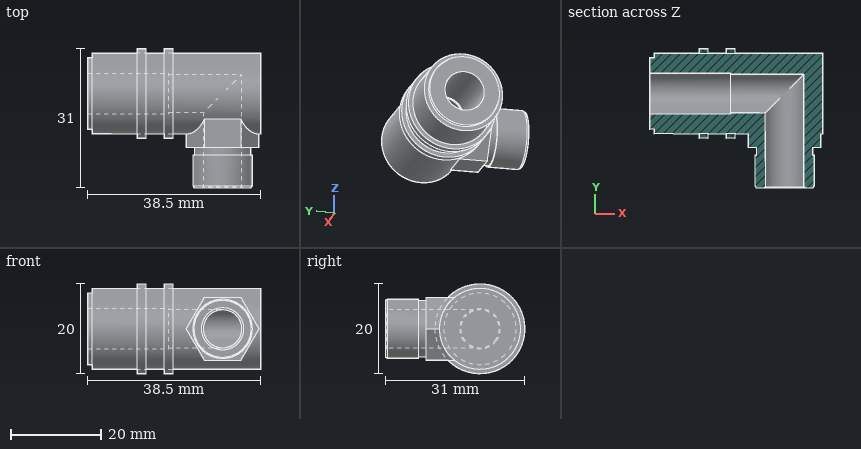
import cadquery as cq
import math

total_length = 38.5
barrel_diameter = 18.0
spigot_diameter = 16.0
spigot_length = 1.0

ring_diameter = 20.0
ring_width = 2.0
ring_starts = (11.0, 17.0)

port_x = 30.0
hex_across_flats = 14.0
hex_face_distance = 12.0
neck_diameter = 12.6
neck_length = 1.7
thread_diameter = 13.2
port_end_distance = 21.0
thread_end_chamfer = 0.5
thread_end_chamfer_radial = 0.25

bore_diameter = 8.5
port_mouth_chamfer_radial = 0.45
port_mouth_chamfer_depth = 0.25
socket_diameter = 9.0
socket_depth = 18.0


def rod_x(diameter, start, length):
    """Cylinder on the barrel axis."""
    return cq.Workplane("YZ").workplane(offset=start).circle(diameter / 2).extrude(length)


def rod_port(diameter, start, length):
    """Cylinder on the port axis, start measured from the barrel axis toward -Y."""
    return (
        cq.Workplane("XZ")
        .workplane(offset=start)
        .center(port_x, 0)
        .circle(diameter / 2)
        .extrude(length)
    )


def make_barrel():
    """Plain cylinder with a short, narrower spigot at its left end."""
    spigot = rod_x(spigot_diameter, 0, spigot_length)
    barrel = rod_x(barrel_diameter, spigot_length, total_length - spigot_length)
    return spigot.union(barrel)


def make_port():
    """Hexagon, relieved neck and thread blank on the port axis."""
    hex_across_corners = hex_across_flats / math.cos(math.pi / 6)
    hexagon = (
        cq.Workplane("XZ")
        .center(port_x, 0)
        .polygon(6, hex_across_corners)
        .extrude(hex_face_distance)
    )
    neck = rod_port(neck_diameter, hex_face_distance, neck_length)
    thread_start = hex_face_distance + neck_length
    thread = rod_port(thread_diameter, thread_start, port_end_distance - thread_start)
    thread = thread.faces("<Y").chamfer(thread_end_chamfer, thread_end_chamfer_radial)
    return hexagon.union(neck).union(thread)


def make_elbow_bore():
    """Two equal bores mitred where their axes cross, so neither leaves a flat end."""
    path = cq.Workplane("XY").polyline([(0, 0), (port_x, 0), (port_x, -port_end_distance)])
    return cq.Workplane("YZ").circle(bore_diameter / 2).sweep(path, transition="right")


def make_port_mouth():
    """Conical chamfer at the open end of the port bore."""
    mouth = cq.Solid.makeCone(
        bore_diameter / 2 + port_mouth_chamfer_radial,
        bore_diameter / 2,
        port_mouth_chamfer_depth,
        pnt=cq.Vector(port_x, -port_end_distance, 0),
        dir=cq.Vector(0, 1, 0),
    )
    return cq.Workplane(mouth)


def make_housing():
    """Barrel and port in one piece, bored through, with a wider socket in the barrel."""
    housing = make_barrel().union(make_port())
    housing = housing.cut(make_elbow_bore())
    housing = housing.cut(rod_x(socket_diameter, 0, socket_depth))
    return housing.cut(make_port_mouth())


def make_ring(start):
    """Separate ring fitted around the barrel."""
    ring = rod_x(ring_diameter, start, ring_width)
    return ring.cut(rod_x(barrel_diameter, start, ring_width))


housing = make_housing()
rings = [make_ring(start) for start in ring_starts]

result = cq.Compound.makeCompound([housing.val(), *[ring.val() for ring in rings]])